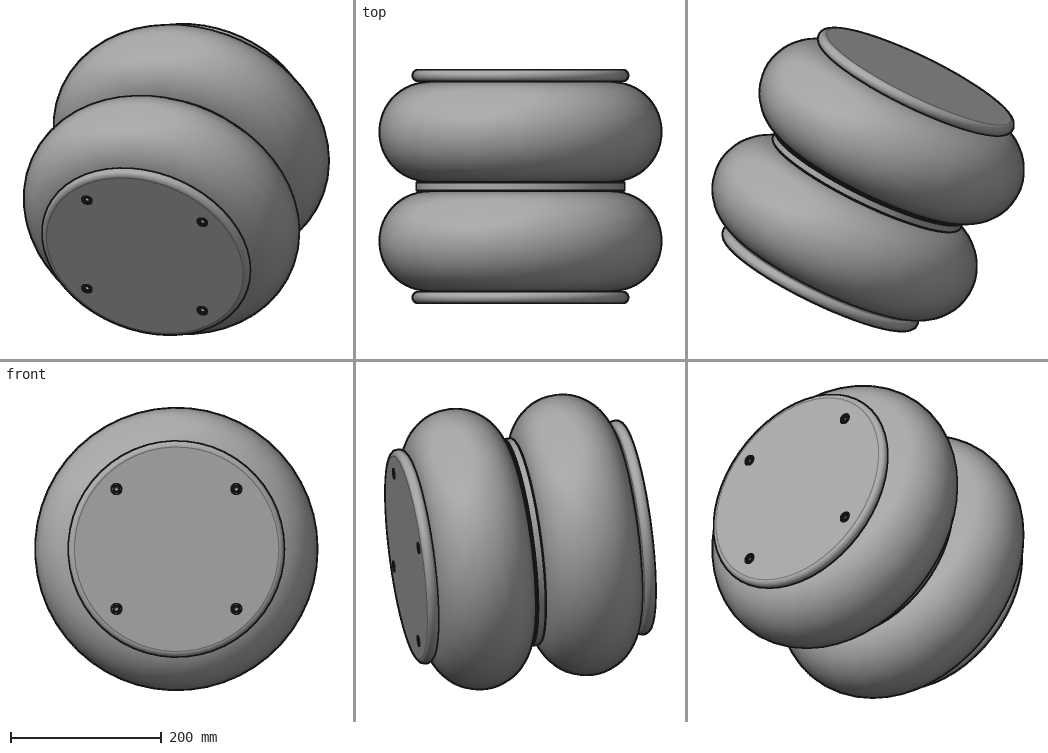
import cadquery as cq

outer_diameter = 375.0
overall_length = 310.0

plate_face_diameter = 271.0
plate_thickness = 15.7
rim_radius = plate_thickness / 2

lobe_gap = 12.7
plate_gap = 0.7
girdle_diameter = 277.0
girdle_width = 12.5
girdle_chamfer = 1.5

insert_spacing = 159.0
insert_diameter = 14.0
insert_recess = 0.2
mouth_diameter = 9.0
bore_diameter = 6.7
bore_depth = 11.2
bore_tip_depth = 2.2

half_length = overall_length / 2
plate_inner_y = half_length - plate_thickness
lobe_start_y = lobe_gap / 2
lobe_radius = (plate_inner_y - plate_gap - lobe_start_y) / 2
lobe_center_y = lobe_start_y + lobe_radius
lobe_flank_radius = outer_diameter / 2 - lobe_radius


def round_edged_disc(flat_radius, edge_radius, center_y):
    """Disc about the Y axis with a semicircular outer edge."""
    return (
        cq.Workplane("XY")
        .moveTo(0, center_y - edge_radius)
        .lineTo(flat_radius, center_y - edge_radius)
        .threePointArc(
            (flat_radius + edge_radius, center_y),
            (flat_radius, center_y + edge_radius),
        )
        .lineTo(0, center_y + edge_radius)
        .close()
        .revolve(360, (0, 0, 0), (0, 1, 0))
    )


def insert_cutter():
    """Shallow insert recess, countersunk mouth and blind bore with a conical tip, along +Y."""
    mouth_radius = mouth_diameter / 2
    bore_radius = bore_diameter / 2
    countersink_end = insert_recess + mouth_radius - bore_radius
    return (
        cq.Workplane("XY")
        .polyline([
            (0, 0),
            (insert_diameter / 2, 0),
            (insert_diameter / 2, insert_recess),
            (mouth_radius, insert_recess),
            (bore_radius, countersink_end),
            (bore_radius, bore_depth),
            (0, bore_depth + bore_tip_depth),
        ])
        .close()
        .revolve(360, (0, 0, 0), (0, 1, 0))
    )


girdle = cq.Workplane("XZ").circle(girdle_diameter / 2).extrude(girdle_width / 2, both=True)
girdle = girdle.edges().chamfer(girdle_chamfer)
core = cq.Workplane("XZ").circle(lobe_flank_radius).extrude(plate_inner_y, both=True)
result = girdle.union(core)

for side in (-1, 1):
    lobe = round_edged_disc(lobe_flank_radius, lobe_radius, side * lobe_center_y)
    plate_center_y = side * (half_length - rim_radius)
    plate = round_edged_disc(plate_face_diameter / 2, rim_radius, plate_center_y)
    result = result.union(lobe).union(plate)

for x_side in (-1, 1):
    for z_side in (-1, 1):
        insert_x = x_side * insert_spacing / 2
        insert_z = z_side * insert_spacing / 2
        result = result.cut(insert_cutter().translate((insert_x, -half_length, insert_z)))